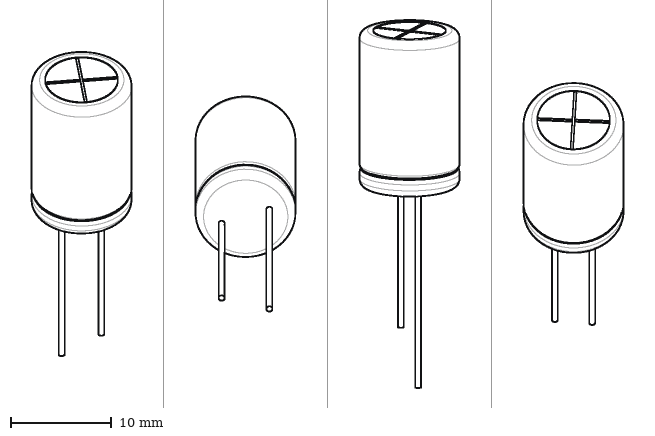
import cadquery as cq
import math

total_height = 36.0
can_height = 16.0
can_radius = 9.97 / 2
end_fillet = 0.8

rim_top = 1.4
neck_bottom = 1.85
neck_top = 1.98
wall_bottom = 2.3
lip_radius = 9.65 / 2
neck_radius = 9.25 / 2

disc_diameter = 7.25
disc_depth = 0.07
vent_width = 0.25
vent_depth = 0.07

lead_diameter = 0.6
lead_pitch = 5.0
long_lead = total_height - can_height
short_lead = 15.0


def arc_midpoint(outer, inner):
    """Midpoint of a convex arc that leaves the vertical wall at `outer` tangentially and ends at `inner`."""
    rise = inner[1] - outer[1]
    inset = outer[0] - inner[0]
    arc_radius = (rise**2 + inset**2) / (2 * inset)
    half_sweep = math.asin(rise / arc_radius) / 2
    return (
        outer[0] - arc_radius * (1 - math.cos(half_sweep)),
        outer[1] + arc_radius * math.sin(half_sweep),
    )


def make_can():
    """Revolved can with rounded ends, a crimp groove near the base and a recessed top."""
    rim_edge = (can_radius, rim_top)
    lower_lip = (lip_radius, neck_bottom)
    upper_lip = (lip_radius, neck_top)
    wall_edge = (can_radius, wall_bottom)
    can = (
        cq.Workplane("XZ")
        .lineTo(can_radius, 0)
        .lineTo(*rim_edge)
        .threePointArc(arc_midpoint(rim_edge, lower_lip), lower_lip)
        .lineTo(neck_radius, neck_bottom)
        .lineTo(neck_radius, neck_top)
        .lineTo(*upper_lip)
        .threePointArc(arc_midpoint(wall_edge, upper_lip), wall_edge)
        .lineTo(can_radius, can_height)
        .lineTo(0, can_height)
        .close()
        .revolve(360, (0, 0), (0, 1))
    )
    can = can.faces("<Z or >Z").edges().fillet(end_fillet)
    return can.cut(make_top_recess())


def make_top_recess():
    """Volume removed from the top face: the shallow disc plus the two crossing vent grooves."""
    disc_floor = can_height - disc_depth
    recess = cq.Workplane("XY").workplane(offset=disc_floor).circle(disc_diameter / 2).extrude(disc_depth)
    for angle in (45, 135):
        groove = (
            cq.Workplane("XY")
            .workplane(offset=disc_floor - vent_depth)
            .transformed(rotate=(0, 0, angle))
            .rect(disc_diameter, vent_width)
            .extrude(vent_depth)
        )
        recess = recess.union(groove)
    return recess


def make_lead(x, length):
    """Straight round wire that hangs from the can base at z = 0."""
    return cq.Workplane("XY").center(x, 0).circle(lead_diameter / 2).extrude(-length)


can = make_can()
leads = [
    make_lead(x, length)
    for x, length in ((-lead_pitch / 2, long_lead), (lead_pitch / 2, short_lead))
]

result = cq.Compound.makeCompound([can.val(), *[lead.val() for lead in leads]])